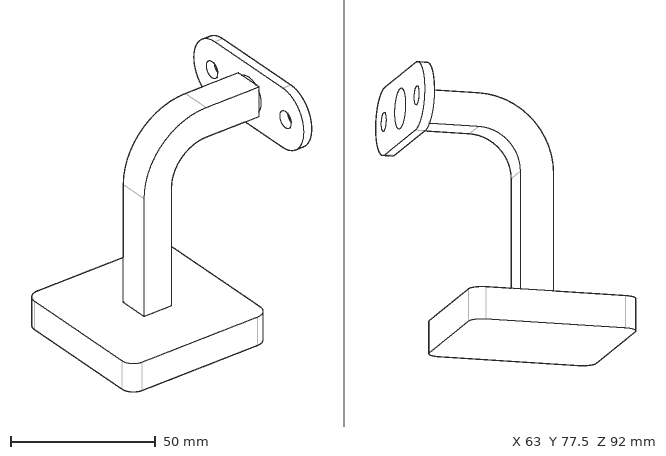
import cadquery as cq

base_side = 60.0
base_height = 11.5
base_corner_radius = 5.0

arm_width = 12.0
bend_inner_radius = 15.0
bend_outer_radius = bend_inner_radius + arm_width

overall_height = 92.0
plate_length = 63.0
plate_height = 24.0
plate_thickness = 3.5
plate_center_z = overall_height - plate_height / 2
overall_depth = 77.5
plate_back_y = overall_depth - base_side / 2
plate_front_y = plate_back_y - plate_thickness
screw_hole_diameter = 6.5
screw_hole_spacing = 42.0

plug_diameter = 14.2


def make_base():
    slab = cq.Workplane("XY").box(base_side, base_side, base_height, centered=(True, True, False))
    return slab.edges("|Z").fillet(base_corner_radius)


def make_arm():
    front_y = -arm_width / 2
    rear_y = arm_width / 2
    top_z = plate_center_z + arm_width / 2
    underside_z = plate_center_z - arm_width / 2
    bend_end_y = front_y + bend_outer_radius
    bend_start_z = top_z - bend_outer_radius
    return (
        cq.Workplane("YZ")
        .moveTo(front_y, base_height)
        .lineTo(front_y, bend_start_z)
        .radiusArc((bend_end_y, top_z), bend_outer_radius)
        .lineTo(plate_front_y, top_z)
        .lineTo(plate_front_y, underside_z)
        .lineTo(bend_end_y, underside_z)
        .radiusArc((rear_y, bend_start_z), -bend_inner_radius)
        .lineTo(rear_y, base_height)
        .close()
        .extrude(arm_width / 2, both=True)
    )


def plate_back_workplane():
    """Workplane on the back of the plate, at its centre, with its normal towards -Y."""
    return cq.Workplane("XZ", origin=(0, plate_back_y, plate_center_z))


def make_plate():
    blank = plate_back_workplane().slot2D(plate_length, plate_height).extrude(plate_thickness)
    screw_holes = (
        plate_back_workplane()
        .pushPoints([(-screw_hole_spacing / 2, 0), (screw_hole_spacing / 2, 0)])
        .circle(screw_hole_diameter / 2)
        .extrude(plate_thickness)
    )
    return blank.cut(screw_holes).cut(make_plug())


def make_plug():
    return plate_back_workplane().circle(plug_diameter / 2).extrude(plate_thickness)


base = make_base()
arm = make_arm()
plate = make_plate()
plug = make_plug()

result = cq.Compound.makeCompound([base.val(), arm.val(), plate.val(), plug.val()])